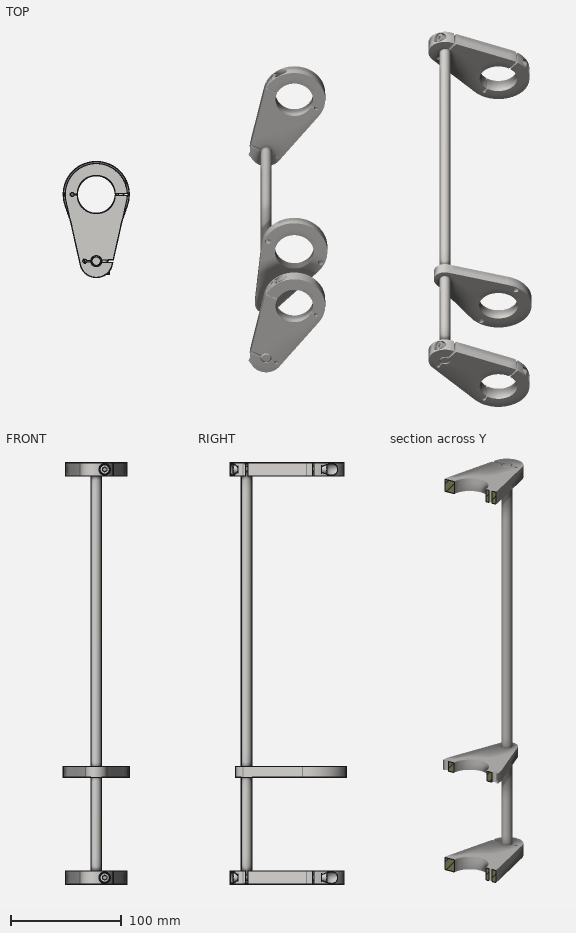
import cadquery as cq
import math

total_height = 381.0
axis_spacing = 60.2

rod_diameter = 10.0
rod_chamfer = 1.0

clamp_thickness = 12.2
clamp_head_diameter = 56.0
clamp_foot_diameter = 29.7
clamp_bore_diameter = 34.0
head_slot_width = 1.5
foot_slot_width = 2.3
relief_slot_width = 1.0
relief_diameter = 3.5
head_relief_offset = 21.7
foot_relief_offset = 10.3

plate_thickness = 10.0
plate_head_diameter = 60.0
plate_foot_diameter = 20.2
plate_bore_diameter = 35.0
plate_bottom = 96.8
plate_hole_diameter = 5.0
plate_hole_offset = 26.3

head_screw_offset = 22.5
foot_screw_offset = 7.5
counterbore_diameter = 10.3
counterbore_floor = 7.5
screw_head_diameter = 8.5
screw_head_height = 4.5
screw_shank_diameter = 5.0
socket_width = 4.0
socket_depth = 2.5


def cylinder(diameter, height, x=0.0, y=0.0):
    """Upright cylinder standing on z = 0."""
    return cq.Workplane("XY").center(x, y).circle(diameter / 2).extrude(height)


def tapered_plate(head_diameter, foot_diameter, thickness):
    """Two round ends joined by their common tangent lines."""
    head_radius = head_diameter / 2
    foot_radius = foot_diameter / 2
    tangent_sin = (head_radius - foot_radius) / axis_spacing
    tangent_cos = math.sqrt(1 - tangent_sin**2)
    head_x = head_radius * tangent_cos
    head_y = axis_spacing - head_radius * tangent_sin
    foot_x = foot_radius * tangent_cos
    foot_y = -foot_radius * tangent_sin
    return (
        cq.Workplane("XY")
        .moveTo(foot_x, foot_y)
        .lineTo(head_x, head_y)
        .threePointArc((0, axis_spacing + head_radius), (-head_x, head_y))
        .lineTo(-foot_x, foot_y)
        .threePointArc((0, -foot_radius), (foot_x, foot_y))
        .close()
        .extrude(thickness)
    )


def clamp_slot(y, relief_offset, slot_width):
    """Slot from the bore out through the +X edge, with a narrow slot to a relief hole at -X."""
    open_slot = (
        cq.Workplane("XY")
        .center(clamp_head_diameter / 2, y)
        .rect(clamp_head_diameter, slot_width)
        .extrude(clamp_thickness)
    )
    relief_slot = (
        cq.Workplane("XY")
        .center(-relief_offset / 2, y)
        .rect(relief_offset, relief_slot_width)
        .extrude(clamp_thickness)
    )
    relief_hole = cylinder(relief_diameter, clamp_thickness, -relief_offset, y)
    return open_slot.union(relief_slot).union(relief_hole)


def screw_axis_plane(x, slot_y, direction):
    """Plane on the counterbore floor, facing out of the counterbore (direction is +1 or -1 along Y)."""
    return cq.Plane(
        origin=(x, slot_y + direction * counterbore_floor, clamp_thickness / 2),
        xDir=(1, 0, 0),
        normal=(0, direction, 0),
    )


def add_screw(clamp, x, slot_y, direction):
    """Counterbore the clamp and seat a socket-head screw whose shank bridges the slot."""
    floor = cq.Workplane(screw_axis_plane(x, slot_y, direction))
    counterbore = floor.circle(counterbore_diameter / 2).extrude(clamp_head_diameter)
    shank = floor.circle(screw_shank_diameter / 2).extrude(-2 * counterbore_floor)
    head = floor.circle(screw_head_diameter / 2).extrude(screw_head_height)
    socket = (
        floor.workplane(offset=screw_head_height)
        .polygon(6, socket_width, circumscribed=True)
        .extrude(-socket_depth)
    )
    return clamp.cut(counterbore).union(shank).union(head.cut(socket))


def end_clamp():
    """Split clamp gripping the rod in its foot, with an open bore in its head."""
    clamp = tapered_plate(clamp_head_diameter, clamp_foot_diameter, clamp_thickness)
    clamp = clamp.cut(cylinder(clamp_bore_diameter, clamp_thickness, 0, axis_spacing))
    clamp = clamp.cut(clamp_slot(axis_spacing, head_relief_offset, head_slot_width))
    clamp = clamp.cut(clamp_slot(0, foot_relief_offset, foot_slot_width))
    clamp = clamp.cut(cylinder(rod_diameter, clamp_thickness))
    clamp = add_screw(clamp, head_screw_offset, axis_spacing, 1)
    return add_screw(clamp, foot_screw_offset, 0, -1)


def middle_plate():
    """Plain plate with an open bore and a small hole on each side of it."""
    plate = tapered_plate(plate_head_diameter, plate_foot_diameter, plate_thickness)
    plate = plate.cut(cylinder(plate_bore_diameter, plate_thickness, 0, axis_spacing))
    for side in (-1, 1):
        hole = cylinder(plate_hole_diameter, plate_thickness, side * plate_hole_offset, axis_spacing)
        plate = plate.cut(hole)
    return plate


rod = cylinder(rod_diameter, total_height).faces("<Z or >Z").chamfer(rod_chamfer)
clamp = end_clamp()

result = (
    rod.union(clamp)
    .union(clamp.translate((0, 0, total_height - clamp_thickness)))
    .union(middle_plate().translate((0, 0, plate_bottom)))
)